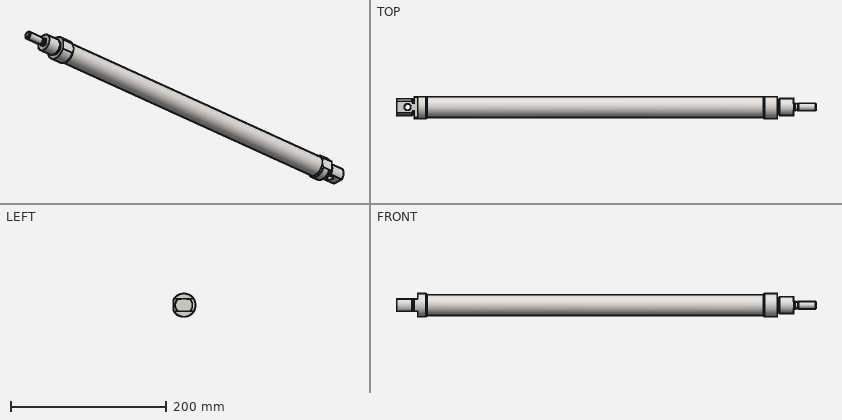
import cadquery as cq

total_length = 540.0
cap_radius = 15.0
cap_flat_offset = 13.5
barrel_radius = 13.5
nose_radius = 11.0
undercut_radius = 9.45
undercut_taper = nose_radius - undercut_radius
cap_chamfer_length = 2.0

rear_nose_end = 19.5
rear_cap_start = 22.5
eye_shoulder = 27.0
barrel_start = 39.5
eye_thickness = 16.0
eye_hole_diameter = 8.0
eye_hole_x = 14.0

barrel_end = 471.5
front_cap_end = 490.0
front_nose_start = 493.0
front_nose_end = 511.0

rod_radius = 5.0
rod_relief_radius = 4.5
rod_shoulder_end = 513.0
rod_relief_end = 515.5
rod_relief_taper = 1.5
rod_tip_chamfer = 1.5


def revolve_about_x(profile):
    """Turn an (x, radius) outline, closed along the axis, about the X axis."""
    first_x = profile[0][0]
    last_x = profile[-1][0]
    outline = [(first_x, 0)] + profile + [(last_x, 0)]
    return cq.Workplane("XY").polyline(outline).close().revolve(360, (0, 0, 0), (1, 0, 0))


def cut_side_flat(cap):
    """Mill the flat on the +Y side of a cap, along its whole length."""
    depth = cap_radius - cap_flat_offset
    flat = cq.Workplane("XY").box(total_length, depth, 2 * cap_radius, centered=(False, False, True))
    return cap.cut(flat.translate((0, cap_flat_offset, 0)))


def make_rear_cap():
    cap = revolve_about_x([
        (0, nose_radius),
        (rear_nose_end, nose_radius),
        (rear_nose_end + undercut_taper, undercut_radius),
        (rear_cap_start, undercut_radius),
        (rear_cap_start, cap_radius),
        (barrel_start - cap_chamfer_length, cap_radius),
        (barrel_start, barrel_radius),
    ])
    cap = cut_side_flat(cap)

    for side in (1, -1):
        waste = cq.Workplane("XY").box(eye_shoulder, 2 * cap_radius, cap_radius, centered=(False, True, True))
        cap = cap.cut(waste.translate((0, 0, side * (eye_thickness + cap_radius) / 2)))

    hole = cq.Workplane("XY").center(eye_hole_x, 0).circle(eye_hole_diameter / 2)
    return cap.cut(hole.extrude(eye_thickness, both=True))


def make_barrel():
    return revolve_about_x([(barrel_start, barrel_radius), (barrel_end, barrel_radius)])


def make_front_cap():
    cap = revolve_about_x([
        (barrel_end, barrel_radius),
        (barrel_end + cap_chamfer_length, cap_radius),
        (front_cap_end, cap_radius),
        (front_cap_end, undercut_radius),
        (front_nose_start - undercut_taper, undercut_radius),
        (front_nose_start, nose_radius),
        (front_nose_end, nose_radius),
    ])
    cap = cut_side_flat(cap)

    bore = revolve_about_x([(barrel_end, rod_radius), (front_nose_end, rod_radius)])
    return cap.cut(bore)


def make_rod():
    return revolve_about_x([
        (barrel_end, rod_radius),
        (rod_shoulder_end, rod_radius),
        (rod_shoulder_end, rod_relief_radius),
        (rod_relief_end, rod_relief_radius),
        (rod_relief_end + rod_relief_taper, rod_radius),
        (total_length - rod_tip_chamfer, rod_radius),
        (total_length, rod_radius - rod_tip_chamfer),
    ])


rear_cap = make_rear_cap()
barrel = make_barrel()
front_cap = make_front_cap()
rod = make_rod()

result = cq.Compound.makeCompound([rear_cap.val(), barrel.val(), front_cap.val(), rod.val()])